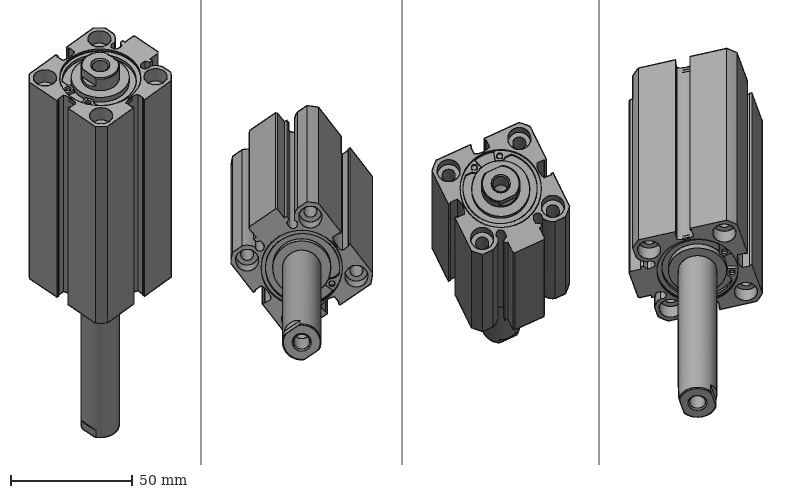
import cadquery as cq
import math

TOTAL_LENGTH = 207.0
BODY_LENGTH = 113.0
BODY_WIDTH = 45.0
CORNER_RADIUS = 29.4
ROD_TOP_REACH = 7.0

BORE_RADIUS = 16.8

BOLT_OFFSET = 16.1
BOLT_RADIUS = 2.7
COUNTERBORE_RADIUS = 4.8
COUNTERBORE_DEPTH = 7.0

SLOT_FLOOR = 17.4
SLOT_FLOOR_EDGE = 18.2
SLOT_WIDTH = 7.0
SLOT_MOUTH_WIDTH = 6.2
SLOT_LIP = 1.0

RAIL_TOP = 27.5
RAIL_HALF_WIDTH = 7.2
RAIL_CHAMFER = 0.6
RAIL_LIP_HALF_WIDTH = 8.5
RAIL_LIP_TOP = 22.1
RAIL_LIP_BOTTOM = 20.7
RAIL_NECK_TOP = 19.7
NOTCH_RADIUS = 1.9
NOTCH_X = 8.5
NOTCH_Y = 17.8
EAR_RADIUS = 6.6

RING_DEPTH = 1.2
RING_THICKNESS = 1.5
RING_OUTER_RADIUS = 17.2
RING_INNER_RADIUS = 15.3
RING_INNER_SHIFT = 0.6
RING_CHORD = 11.8
LUG_HOLE_X = 5.8
LUG_HOLE_Y = 13.2
LUG_HOLE_RADIUS = 1.2
LUG_RADIUS = 2.3
RING_GAP_ANGLE = 30.0

BOSS_RADIUS = 12.0
COVER_THICKNESS = 10.4

ROD_DIAMETER = 16.0
ROD_CHAMFER = 0.5
FLAT_OFFSET = 6.8
FLAT_LENGTH = 4.5
THREAD_RADIUS = 3.3
THREAD_MOUTH_RADIUS = 4.0
THREAD_DEPTH = 13.0
DRILL_POINT_ANGLE = 118.0

HALF_BODY = BODY_WIDTH / 2
EAR_CENTRES = [(-BOLT_OFFSET, BOLT_OFFSET), (BOLT_OFFSET, BOLT_OFFSET)]
ROD_RADIUS = ROD_DIAMETER / 2
RING_BACK = RING_DEPTH + RING_THICKNESS
ROD_TOP = BODY_LENGTH + ROD_TOP_REACH
ROD_BOTTOM = ROD_TOP - TOTAL_LENGTH
ROD_MIDDLE = (ROD_TOP + ROD_BOTTOM) / 2


def disc(radius, bottom, height):
    """Cylinder on the rod axis."""
    return cq.Workplane("XY").workplane(offset=bottom).circle(radius).extrude(height)


def mirrored(shape, height):
    """The same shape turned over about the level Z = height."""
    return shape.mirror("XY", (0, 0, height))


def housing_outline():
    """Square body with arced corners, before the rail is formed."""
    block = cq.Workplane("XY").rect(BODY_WIDTH, BODY_WIDTH).extrude(BODY_LENGTH)
    return block.intersect(disc(CORNER_RADIUS, 0, BODY_LENGTH))


def rail():
    """Rail profile on the +Y side, with a lip overhanging each notch."""
    neck_half_width = NOTCH_X - NOTCH_RADIUS
    return (
        cq.Workplane("XY")
        .moveTo(0, NOTCH_Y)
        .lineTo(neck_half_width, NOTCH_Y)
        .lineTo(neck_half_width, RAIL_NECK_TOP)
        .lineTo(RAIL_LIP_HALF_WIDTH, RAIL_LIP_BOTTOM)
        .lineTo(RAIL_LIP_HALF_WIDTH, RAIL_LIP_TOP)
        .lineTo(RAIL_HALF_WIDTH, RAIL_LIP_TOP)
        .lineTo(RAIL_HALF_WIDTH, RAIL_TOP - RAIL_CHAMFER)
        .lineTo(RAIL_HALF_WIDTH - RAIL_CHAMFER, RAIL_TOP)
        .lineTo(0, RAIL_TOP)
        .mirrorY()
        .extrude(BODY_LENGTH)
    )


def rail_recess():
    """Material removed between the two rounded ears, with a round notch beside each ear."""
    channel_half_width = NOTCH_X + NOTCH_RADIUS
    recess = (
        cq.Workplane("XY")
        .moveTo(0, (NOTCH_Y + HALF_BODY) / 2)
        .rect(2 * BOLT_OFFSET, HALF_BODY - NOTCH_Y)
        .extrude(BODY_LENGTH)
    )
    ears = (
        cq.Workplane("XY")
        .pushPoints(EAR_CENTRES)
        .circle(EAR_RADIUS)
        .extrude(BODY_LENGTH)
    )
    webs = (
        cq.Workplane("XY")
        .pushPoints(EAR_CENTRES)
        .rect(2 * (BOLT_OFFSET - channel_half_width), 2 * (NOTCH_Y - BOLT_OFFSET))
        .extrude(BODY_LENGTH)
    )
    notches = (
        cq.Workplane("XY")
        .pushPoints([(-NOTCH_X, NOTCH_Y), (NOTCH_X, NOTCH_Y)])
        .circle(NOTCH_RADIUS)
        .extrude(BODY_LENGTH)
    )
    return recess.cut(ears).cut(webs).union(notches)


def sensor_slot(angle):
    """Slot with a concave floor and a narrower mouth, in the side that faces the given direction."""
    half_width = SLOT_WIDTH / 2
    half_mouth = SLOT_MOUTH_WIDTH / 2
    lip_start = HALF_BODY - SLOT_LIP
    slot = (
        cq.Workplane("XY")
        .moveTo(SLOT_FLOOR_EDGE, -half_width)
        .threePointArc((SLOT_FLOOR, 0), (SLOT_FLOOR_EDGE, half_width))
        .lineTo(lip_start, half_width)
        .lineTo(lip_start, half_mouth)
        .lineTo(HALF_BODY, half_mouth)
        .lineTo(HALF_BODY, -half_mouth)
        .lineTo(lip_start, -half_mouth)
        .lineTo(lip_start, -half_width)
        .close()
        .extrude(BODY_LENGTH)
    )
    return slot.rotate((0, 0, 0), (0, 0, 1), angle)


def mounting_holes():
    """Four through holes, counterbored at both ends."""
    corners = [(sx * BOLT_OFFSET, sy * BOLT_OFFSET) for sx in (-1, 1) for sy in (-1, 1)]
    holes = cq.Workplane("XY").pushPoints(corners).circle(BOLT_RADIUS).extrude(BODY_LENGTH)
    counterbores = (
        cq.Workplane("XY").pushPoints(corners).circle(COUNTERBORE_RADIUS).extrude(COUNTERBORE_DEPTH)
    )
    return holes.union(counterbores).union(mirrored(counterbores, BODY_LENGTH / 2))


def make_housing():
    housing = housing_outline().cut(rail_recess()).union(rail())
    for angle in (0, 180, 270):
        housing = housing.cut(sensor_slot(angle))
    lower_groove = disc(RING_OUTER_RADIUS, RING_DEPTH, RING_THICKNESS)
    housing = housing.cut(disc(BORE_RADIUS, 0, BODY_LENGTH))
    housing = housing.cut(lower_groove).cut(mirrored(lower_groove, BODY_LENGTH / 2))
    return housing.cut(mounting_holes())


def make_upper_cover():
    """Disc behind the retaining ring, with a boss that ends level with the housing."""
    disc_top = BODY_LENGTH - RING_BACK
    disc_bottom = disc_top - COVER_THICKNESS
    cover = disc(BORE_RADIUS, disc_bottom, COVER_THICKNESS)
    cover = cover.union(disc(BOSS_RADIUS, disc_top, RING_BACK))
    return cover.cut(disc(ROD_RADIUS, disc_bottom, COVER_THICKNESS + RING_BACK))


def make_upper_ring():
    """Open ring with an eccentric opening and two lugs with plier holes at the -Y side."""
    plane = cq.Workplane("XY").workplane(offset=BODY_LENGTH - RING_BACK)
    lug_holes = [(-LUG_HOLE_X, -LUG_HOLE_Y), (LUG_HOLE_X, -LUG_HOLE_Y)]
    opening = plane.center(0, -RING_INNER_SHIFT).circle(RING_INNER_RADIUS).extrude(RING_THICKNESS)
    above_chord = (
        plane.center(0, RING_OUTER_RADIUS - RING_CHORD)
        .rect(2 * RING_OUTER_RADIUS, 2 * RING_OUTER_RADIUS)
        .extrude(RING_THICKNESS)
    )
    lugs = plane.pushPoints(lug_holes).circle(LUG_RADIUS).extrude(RING_THICKNESS)
    gap_depth = 2 * RING_OUTER_RADIUS
    gap_half_width = gap_depth * math.tan(math.radians(RING_GAP_ANGLE / 2))
    gap = (
        plane.lineTo(gap_half_width, -gap_depth)
        .lineTo(-gap_half_width, -gap_depth)
        .close()
        .extrude(RING_THICKNESS)
    )
    holes = plane.pushPoints(lug_holes).circle(LUG_HOLE_RADIUS).extrude(RING_THICKNESS)
    ring = plane.circle(RING_OUTER_RADIUS).extrude(RING_THICKNESS)
    ring = ring.cut(opening.intersect(above_chord))
    return ring.union(lugs).cut(gap).cut(holes)


def threaded_hole():
    """Blind hole in the top end, with a countersunk mouth and a conical drill point."""
    point_depth = THREAD_RADIUS / math.tan(math.radians(DRILL_POINT_ANGLE / 2))
    countersink = THREAD_MOUTH_RADIUS - THREAD_RADIUS
    return (
        cq.Workplane("XZ")
        .moveTo(0, ROD_TOP)
        .lineTo(THREAD_MOUTH_RADIUS, ROD_TOP)
        .lineTo(THREAD_RADIUS, ROD_TOP - countersink)
        .lineTo(THREAD_RADIUS, ROD_TOP - THREAD_DEPTH)
        .lineTo(0, ROD_TOP - THREAD_DEPTH - point_depth)
        .close()
        .revolve(360, (0, 0), (0, 1))
    )


def wrench_flats():
    """Material cut from the top end to leave two flats, each running out at 45 degrees."""
    flat_depth = ROD_RADIUS - FLAT_OFFSET
    flat_bottom = ROD_TOP - FLAT_LENGTH
    front_cut = (
        cq.Workplane("YZ")
        .moveTo(-FLAT_OFFSET, ROD_TOP)
        .lineTo(-FLAT_OFFSET, flat_bottom)
        .lineTo(-ROD_RADIUS, flat_bottom - flat_depth)
        .lineTo(-ROD_RADIUS, ROD_TOP)
        .close()
        .extrude(ROD_RADIUS, both=True)
    )
    return front_cut.union(front_cut.mirror("XZ"))


def make_rod():
    rod = disc(ROD_RADIUS, ROD_BOTTOM, TOTAL_LENGTH).faces("<Z or >Z").chamfer(ROD_CHAMFER)
    for end_cut in (wrench_flats(), threaded_hole()):
        rod = rod.cut(end_cut).cut(mirrored(end_cut, ROD_MIDDLE))
    return rod


housing = make_housing()
rod = make_rod()
upper_cover = make_upper_cover()
upper_ring = make_upper_ring()

bodies = [housing.solids().val(), rod.solids().val()]
for end_body in (upper_cover, upper_ring):
    lower_twin = mirrored(end_body, BODY_LENGTH / 2)
    bodies.append(end_body.solids().val())
    bodies.append(lower_twin.solids().val())

result = cq.Compound.makeCompound(bodies)